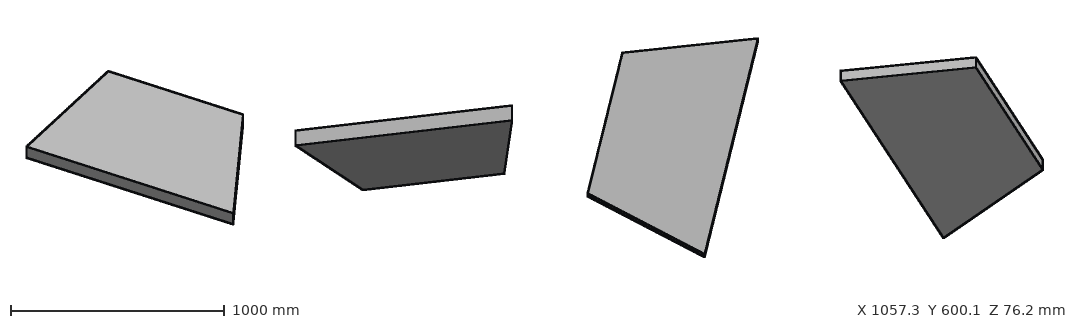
import cadquery as cq

front_width = 1057.28
depth = 600.08
thickness = 76.2

left_inset = 152.4
right_inset = 215.9


def make_slab():
    """Flat slab with a trapezoidal outline, front edge along the X axis."""
    outline = [
        (0, 0),
        (front_width, 0),
        (front_width - right_inset, depth),
        (left_inset, depth),
    ]
    return cq.Workplane("XY").polyline(outline).close().extrude(thickness)


result = make_slab()